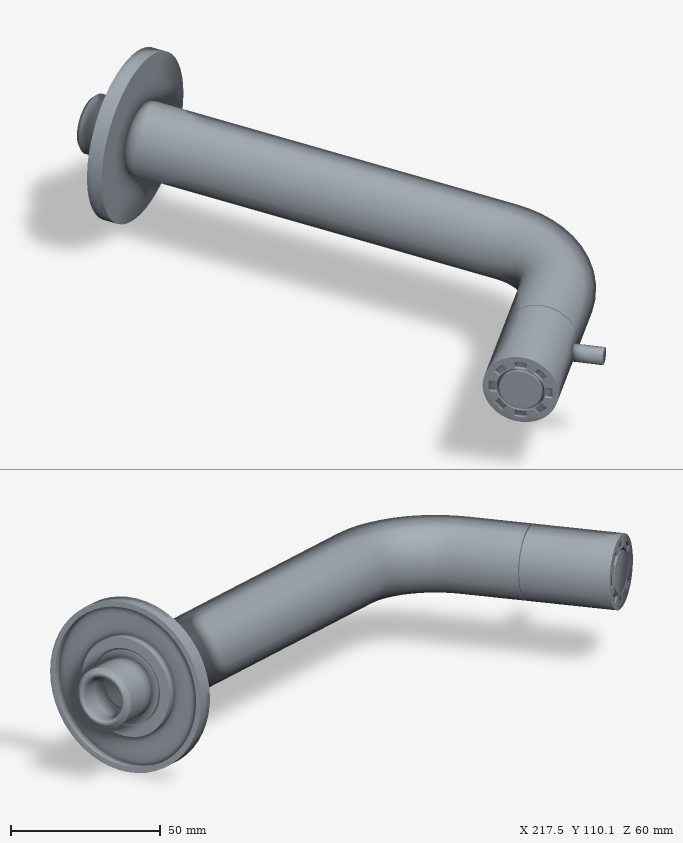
import cadquery as cq
import math

PIPE_D = 26.0
BORE_D = 9.0
STRAIGHT_LENGTH = 141.5
BEND_RADIUS = 32.0
BEND_ANGLE = 75.0
SPOUT_LENGTH = 22.9

INLET_D = 21.0
INLET_LENGTH = 14.5
INLET_CHAMFER = 1.5
INLET_BORE_D = 15.2
INLET_BORE_DEPTH = 13.0
INLET_MOUTH_D = 16.5
INLET_MOUTH_DEPTH = 0.7
INLET_CONE_D = 14.0
INLET_CONE_DEPTH = 2.2

FLANGE_D = 60.0
FLANGE_THICKNESS = 5.5
RIM_WALL = 2.0
RECESS_DEPTH = 3.0
BOSS_D = 34.8
HOLE_CHAMFER = 0.7

HEAD_LENGTH = 31.5
GAP_D = 24.6
GAP_WIDTH = 0.5
SOCKET_D = 22.0
SOCKET_DEPTH = 5.5

LEVER_D = 6.0
LEVER_OFFSET = 6.0
LEVER_REACH = 23.0
LEVER_SEAT = 11.0

OUTLET_FACE_D = 14.5
OUTLET_GROOVE_D = 16.5
OUTLET_GROOVE_DEPTH = 3.3
NOTCH_COUNT = 8
NOTCH_WIDTH = 4.1
NOTCH_DEPTH = 1.3

HEAD_START = SPOUT_LENGTH + GAP_WIDTH
MOUTH = HEAD_START + HEAD_LENGTH


def spout_plane(distance):
    """Plane square to the spout axis, at a distance past the bend; its normal points to the mouth."""
    turn = math.radians(BEND_ANGLE)
    along = (math.cos(turn), -math.sin(turn))
    x = STRAIGHT_LENGTH + BEND_RADIUS * math.sin(turn) + distance * along[0]
    y = -BEND_RADIUS * (1 - math.cos(turn)) + distance * along[1]
    return cq.Plane(origin=(x, y, 0), xDir=(-along[1], along[0], 0), normal=(along[0], along[1], 0))


def disc(plane, diameter, length):
    """Solid cylinder that starts on the plane and runs along its normal."""
    return cq.Workplane(plane).circle(diameter / 2).extrude(length)


def cone(plane, start_diameter, end_diameter, length):
    """Tapered solid that starts on the plane and runs along its normal."""
    start = cq.Workplane(plane).circle(start_diameter / 2)
    return start.workplane(offset=length).circle(end_diameter / 2).loft()


def along_pipe(x):
    """Plane square to the straight run, facing away from the wall."""
    return cq.Plane(origin=(x, 0, 0), xDir=(0, 1, 0), normal=(1, 0, 0))


def bent_rod(diameter):
    """Round rod along the straight run, the bend and the spout."""
    straight = disc(along_pipe(0), diameter, STRAIGHT_LENGTH)
    bend = (
        cq.Workplane(along_pipe(STRAIGHT_LENGTH))
        .circle(diameter / 2)
        .revolve(BEND_ANGLE, (-BEND_RADIUS, 0), (-BEND_RADIUS, -1))
    )
    return straight.union(bend).union(disc(spout_plane(0), diameter, SPOUT_LENGTH))


def make_pipe():
    """Bent pipe with the inlet nipple and the water way through both."""
    inlet_end = along_pipe(-INLET_LENGTH)
    nipple = disc(inlet_end, INLET_D, INLET_LENGTH).faces("<X").chamfer(INLET_CHAMFER)
    bore = disc(inlet_end, INLET_BORE_D, INLET_BORE_DEPTH).union(bent_rod(BORE_D))
    bore = bore.union(cone(inlet_end, INLET_MOUTH_D, INLET_BORE_D, INLET_MOUTH_DEPTH))
    bore_floor = along_pipe(INLET_BORE_DEPTH - INLET_LENGTH)
    bore = bore.union(cone(bore_floor, INLET_CONE_D, BORE_D, INLET_CONE_DEPTH))
    return bent_rod(PIPE_D).union(nipple).cut(bore)


pipe = make_pipe()


def make_flange():
    """Wall plate, hollowed at the back between its rim and a central boss."""
    back = along_pipe(0)
    flange = disc(back, FLANGE_D, FLANGE_THICKNESS)
    boss = disc(back, BOSS_D, RECESS_DEPTH)
    recess = disc(back, FLANGE_D - 2 * RIM_WALL, RECESS_DEPTH).cut(boss)
    pipe_hole = disc(back, PIPE_D, FLANGE_THICKNESS)
    countersink = cone(back, PIPE_D + 2 * HOLE_CHAMFER, PIPE_D, HOLE_CHAMFER)
    return flange.cut(recess).cut(pipe_hole).cut(countersink)


flange = make_flange()


def make_lever():
    """Round pin standing square to the spout, on the outside of the bend."""
    across = spout_plane(HEAD_START + LEVER_OFFSET)
    seat_centre = across.origin + across.xDir * LEVER_SEAT
    seat = cq.Plane(origin=seat_centre, xDir=across.zDir, normal=across.xDir)
    return disc(seat, LEVER_D, LEVER_REACH - LEVER_SEAT)


lever = make_lever()


def make_head():
    """Barrel on the spout end, set off by a narrow neck, with a socket in its mouth."""
    neck = disc(spout_plane(SPOUT_LENGTH), GAP_D, GAP_WIDTH)
    barrel = disc(spout_plane(HEAD_START), PIPE_D, HEAD_LENGTH)
    socket = disc(spout_plane(MOUTH - SOCKET_DEPTH), SOCKET_D, SOCKET_DEPTH)
    return neck.union(barrel).cut(socket).cut(lever)


head = make_head()


def make_outlet():
    """Insert flush with the mouth: a ring groove and a ring of notches around a flat core."""
    insert = disc(spout_plane(MOUTH - SOCKET_DEPTH), SOCKET_D, SOCKET_DEPTH)
    groove_floor = spout_plane(MOUTH - OUTLET_GROOVE_DEPTH)
    core = disc(groove_floor, OUTLET_FACE_D, OUTLET_GROOVE_DEPTH)
    insert = insert.cut(disc(groove_floor, OUTLET_GROOVE_D, OUTLET_GROOVE_DEPTH).cut(core))
    notches = (
        cq.Workplane(spout_plane(MOUTH - NOTCH_DEPTH))
        .polarArray(SOCKET_D / 2, 0, 360, NOTCH_COUNT)
        .rect(SOCKET_D - OUTLET_GROOVE_D, NOTCH_WIDTH)
        .extrude(NOTCH_DEPTH)
    )
    return insert.cut(notches)


outlet = make_outlet()

result = cq.Compound.makeCompound([pipe.val(), flange.val(), head.val(), lever.val(), outlet.val()])